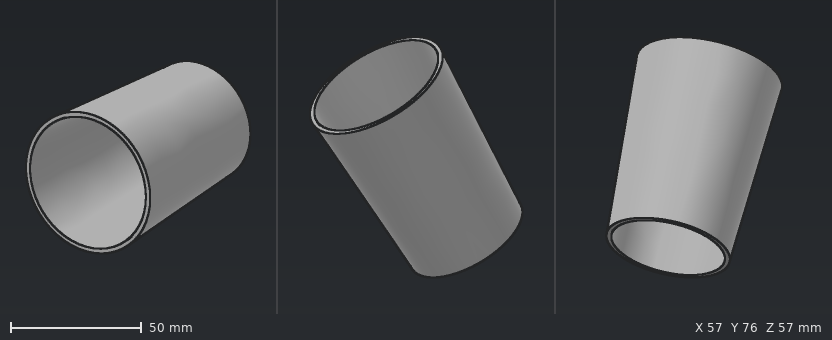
import cadquery as cq

length = 76.0
wide_diameter = 57.0
narrow_diameter = 48.3
wall = 2.0

wide_radius = wide_diameter / 2
narrow_radius = narrow_diameter / 2

wall_section = (
    cq.Workplane("XY")
    .moveTo(wide_radius - wall, 0)
    .lineTo(wide_radius, 0)
    .lineTo(narrow_radius, length)
    .lineTo(narrow_radius - wall, length)
    .close()
)

result = wall_section.revolve(360, (0, 0, 0), (0, 1, 0))